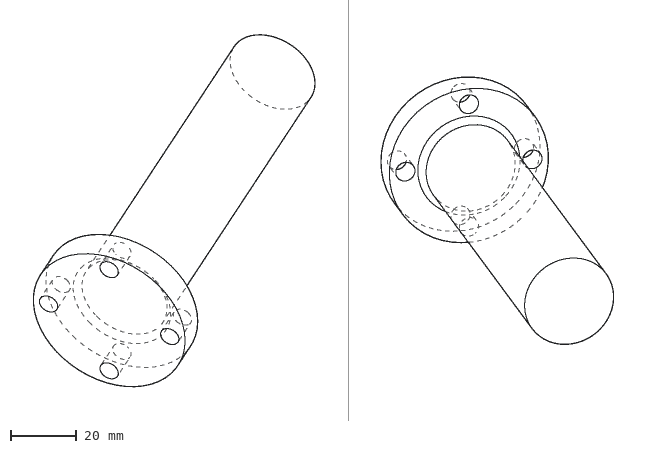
import cadquery as cq

total_length = 128
flange_diameter = 50.0
flange_thickness = 10.0
shaft_diameter = 28.0
collar_size = 2.0
hole_diameter = 6.0
hole_circle_diameter = 40.0
hole_count = 4

flange_radius = flange_diameter / 2
shaft_radius = shaft_diameter / 2
shaft_start = flange_thickness + collar_size


def make_body():
    """Flange, conical collar and shaft revolved about the Y axis."""
    return (
        cq.Workplane("XY")
        .lineTo(flange_radius, 0)
        .lineTo(flange_radius, flange_thickness)
        .lineTo(shaft_radius + collar_size, flange_thickness)
        .lineTo(shaft_radius, shaft_start)
        .lineTo(shaft_radius, total_length)
        .lineTo(0, total_length)
        .close()
        .revolve(360, (0, 0, 0), (0, 1, 0))
    )


def make_flange_holes():
    """Cylinders for the evenly spaced holes through the flange."""
    return (
        cq.Workplane("XZ")
        .polarArray(hole_circle_diameter / 2, 0, 360, hole_count)
        .circle(hole_diameter / 2)
        .extrude(-flange_thickness)
    )


result = make_body().cut(make_flange_holes())